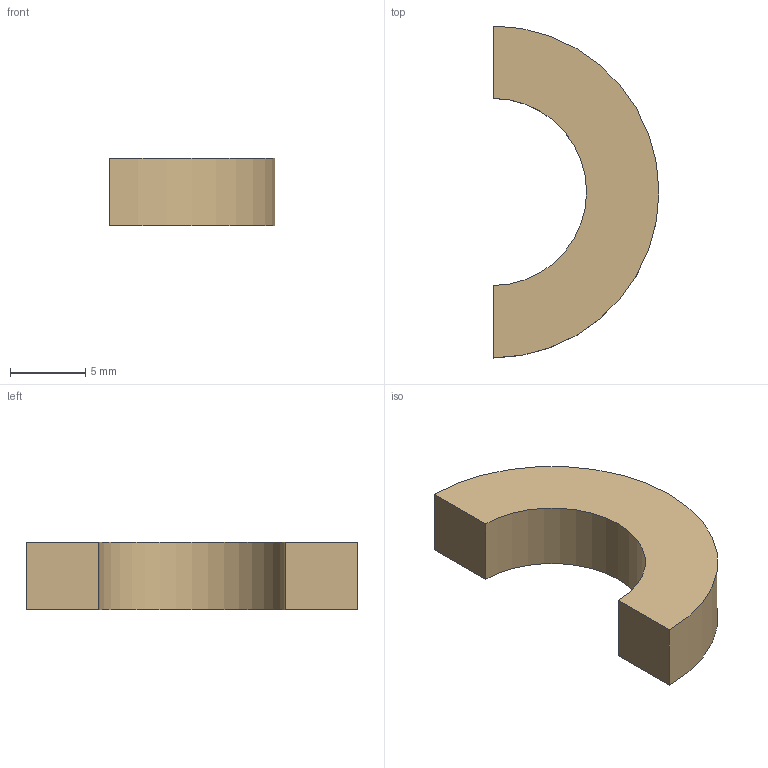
import cadquery as cq

outer_radius = 11.0
inner_radius = 6.2
thickness = 4.5


def half_ring_profile():
    """Closed half-annulus outline in the XY plane, centred on the origin."""
    return (
        cq.Workplane("XY")
        .moveTo(0, -outer_radius)
        .threePointArc((outer_radius, 0), (0, outer_radius))
        .lineTo(0, inner_radius)
        .threePointArc((inner_radius, 0), (0, -inner_radius))
        .close()
    )


result = half_ring_profile().extrude(thickness)